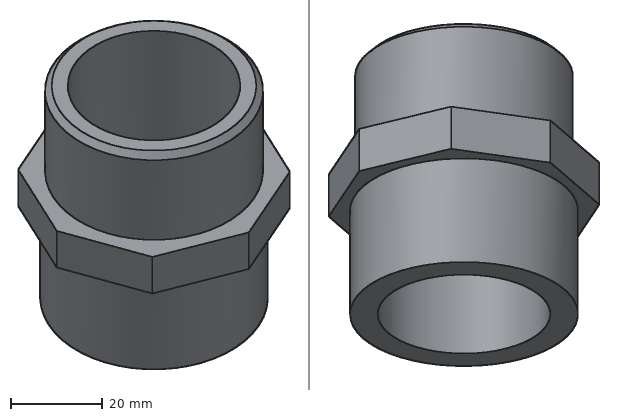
import cadquery as cq
import math

total_height = 60.0
across_flats = 55.0
bore_diameter = 37.8

sleeve_diameter = 50.0
spigot_diameter = 47.8
collar_bottom = 25.5
collar_height = 10.4
spigot_chamfer = 1.5

collar_top = collar_bottom + collar_height
spigot_height = total_height - collar_top


def cylinder(diameter, height, bottom):
    """Upright cylinder on the Z axis, starting at the given height."""
    return cq.Workplane("XY").workplane(offset=bottom).circle(diameter / 2).extrude(height)


def octagonal_collar():
    """Octagonal wrench grip with flats facing X and Y."""
    sides = 8
    half_side_angle = 180 / sides
    across_corners = across_flats / math.cos(math.radians(half_side_angle))
    collar = (
        cq.Workplane("XY")
        .workplane(offset=collar_bottom)
        .polygon(sides, across_corners)
        .extrude(collar_height)
    )
    return collar.rotate((0, 0, 0), (0, 0, 1), half_side_angle)


sleeve = cylinder(sleeve_diameter, collar_bottom, 0)
spigot = cylinder(spigot_diameter, spigot_height, collar_top).faces(">Z").chamfer(spigot_chamfer)
bore = cylinder(bore_diameter, total_height, 0)

result = sleeve.union(octagonal_collar()).union(spigot).cut(bore)